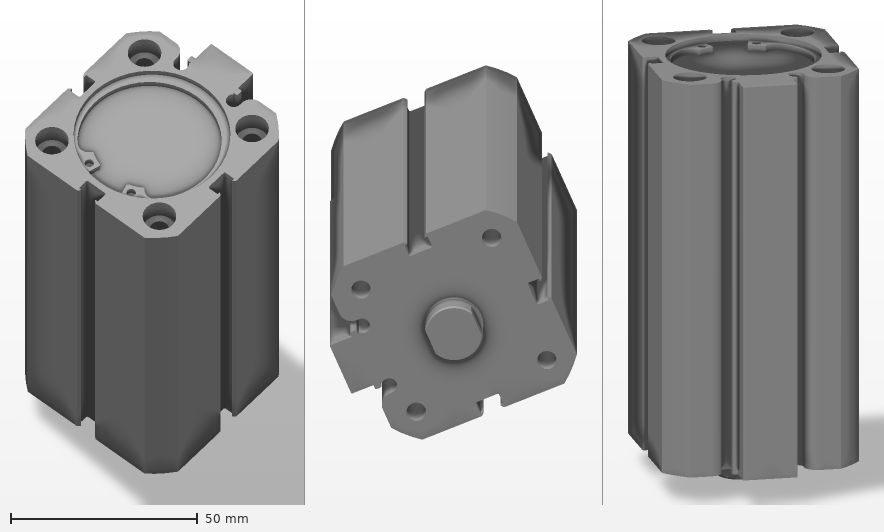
import cadquery as cq
import math


body_width = 54.0
half_width = body_width / 2
body_length = 109.0
corner_radius = 34.0

rail_width = 15.0
rail_top_y = 33.0
rail_edge_fillet = 0.4
lip_reach = 8.9
lip_top_y = 26.6
lip_bottom_y = 24.7
lip_fillet = 0.4
channel_x = 9.3
channel_y = 22.75
channel_radius = 2.1
channel_shoulder_radius = 3.5

slot_width = 6.7
slot_depth = 4.25
mouth_width = 5.1
mouth_bevel = 0.7
slot_lip_thickness = 0.9
slot_corner_fillet = 0.4

hole_pitch = 38.0
hole_diameter = 5.2
counterbore_diameter = 9.0
counterbore_depth = 6.0

bore_diameter = 42.0
groove_diameter = 44.9
ring_recess = 1.75
ring_thickness = 1.75
ring_inner_radius = 19.3
ring_inner_offset = -1.0
lug_inner_radius = 16.35
lug_start_angle = 16.5
lug_end_angle = 34.0
lug_root_fillet = 3.0
lug_corner_fillet = 0.5
lug_hole_radius = 18.7
lug_hole_angle = 23.4
lug_hole_diameter = 2.5
cap_thickness = 10.0

ring_top_z = body_length - ring_recess
ring_bottom_z = ring_top_z - ring_thickness
cap_bottom_z = ring_bottom_z - cap_thickness

rod_diameter = 16.0
rod_overhang = 7.0
rod_end_diameter = 15.6
shoulder_z = -0.8
rod_tip_chamfer_length = 0.6
rod_tip_chamfer_depth = 0.35
flats_width = 13.4
flats_top_z = -2.3


def polar_point(radius, angle_from_minus_y):
    """XY point at an angle in degrees from -Y, positive towards +X."""
    angle = math.radians(angle_from_minus_y)
    return (radius * math.sin(angle), -radius * math.cos(angle))


def disc(diameter, bottom_z, top_z):
    return cq.Workplane("XY").workplane(offset=bottom_z).circle(diameter / 2).extrude(top_z - bottom_z)


def side_slot():
    """T-shaped slot with a bevelled mouth, opening through the -Y face."""
    face_y = -half_width
    bevel_y = face_y + mouth_bevel
    lip_y = face_y + slot_lip_thickness
    floor_y = face_y + slot_depth
    half_mouth = mouth_width / 2
    mouth = (
        cq.Workplane("XY")
        .moveTo(-half_mouth - mouth_bevel, face_y)
        .lineTo(half_mouth + mouth_bevel, face_y)
        .lineTo(half_mouth, bevel_y)
        .lineTo(half_mouth, lip_y)
        .lineTo(-half_mouth, lip_y)
        .lineTo(-half_mouth, bevel_y)
        .close()
        .extrude(body_length)
    )
    chamber = (
        cq.Workplane("XY")
        .rect(slot_width, floor_y - lip_y)
        .extrude(body_length)
        .edges("|Z and >Y")
        .fillet(slot_corner_fillet)
        .translate((0, (lip_y + floor_y) / 2, 0))
    )
    return mouth.union(chamber)


def rail_channel():
    """Round-bottomed channel on the +X side of the rail, open through the +Y face."""
    outer_x = channel_x + channel_radius
    shoulder_y = half_width - channel_shoulder_radius
    shoulder_offset = channel_shoulder_radius * (1 - math.sqrt(0.5))
    opening = (
        cq.Workplane("XY")
        .moveTo(channel_x, channel_y)
        .lineTo(outer_x, channel_y)
        .lineTo(outer_x, shoulder_y)
        .threePointArc(
            (outer_x + shoulder_offset, half_width - shoulder_offset),
            (outer_x + channel_shoulder_radius, half_width),
        )
        .lineTo(rail_width / 2, half_width)
        .lineTo(rail_width / 2, lip_bottom_y)
        .close()
        .extrude(body_length)
    )
    channel = cq.Workplane("XY").center(channel_x, channel_y).circle(channel_radius).extrude(body_length)
    return opening.union(channel)


def rail():
    """Upright rail with a pair of rounded lips near its foot."""
    upright = (
        cq.Workplane("XY")
        .rect(rail_width, rail_top_y - lip_bottom_y)
        .extrude(body_length)
        .edges("|Z and >Y")
        .fillet(rail_edge_fillet)
        .translate((0, (rail_top_y + lip_bottom_y) / 2, 0))
    )
    lips = (
        cq.Workplane("XY")
        .rect(2 * lip_reach, lip_top_y - lip_bottom_y)
        .extrude(body_length)
        .edges("|Z")
        .fillet(lip_fillet)
        .translate((0, (lip_top_y + lip_bottom_y) / 2, 0))
    )
    return upright.union(lips)


def make_housing():
    """Slotted extrusion with four mounting holes, a head-end bore and a rod hole."""
    block = cq.Workplane("XY").rect(body_width, body_width).extrude(body_length)
    housing = block.intersect(disc(2 * corner_radius, 0, body_length))

    for angle in (-90, 0, 90):
        housing = housing.cut(side_slot().rotate((0, 0, 0), (0, 0, 1), angle))

    channel = rail_channel()
    housing = housing.cut(channel).cut(channel.mirror("YZ")).union(rail())

    housing = (
        housing.faces(">Z")
        .workplane(origin=(0, 0, body_length))
        .rect(hole_pitch, hole_pitch, forConstruction=True)
        .vertices()
        .cboreHole(hole_diameter, counterbore_diameter, counterbore_depth)
    )

    housing = housing.cut(disc(bore_diameter, cap_bottom_z, body_length))
    housing = housing.cut(disc(groove_diameter, ring_bottom_z, ring_top_z))
    return housing.cut(disc(rod_diameter, 0, cap_bottom_z))


def make_retaining_ring():
    """Internal circlip with an eccentric opening and two lugs facing -Y."""
    outer_radius = groove_diameter / 2
    lug_end = math.radians(lug_end_angle)
    axis_offset = -ring_inner_offset
    lug_root_radius = axis_offset * math.cos(lug_end) + math.sqrt(
        ring_inner_radius**2 - (axis_offset * math.sin(lug_end)) ** 2
    )

    plane = cq.Workplane("XY")
    opening = plane.center(0, ring_inner_offset).circle(ring_inner_radius).extrude(ring_thickness)
    lug_zone = (
        plane.moveTo(0, 0)
        .lineTo(*polar_point(body_width, -lug_end_angle))
        .lineTo(*polar_point(body_width, lug_end_angle))
        .close()
        .extrude(ring_thickness)
        .cut(plane.circle(lug_inner_radius).extrude(ring_thickness))
    )
    gap = (
        plane.moveTo(0, 0)
        .lineTo(*polar_point(body_width, -lug_start_angle))
        .lineTo(*polar_point(body_width, lug_start_angle))
        .close()
        .extrude(ring_thickness)
    )
    ring = plane.circle(outer_radius).extrude(ring_thickness).cut(opening.cut(lug_zone)).cut(gap)

    lug_edges = (
        (lug_root_radius, lug_end_angle, lug_root_fillet),
        (lug_inner_radius, lug_start_angle, lug_corner_fillet),
        (lug_inner_radius, lug_end_angle, lug_corner_fillet),
    )
    for side in (-1, 1):
        for radius, angle, fillet in lug_edges:
            edge_middle = (*polar_point(radius, side * angle), ring_thickness / 2)
            ring = ring.edges(cq.selectors.NearestToPointSelector(edge_middle)).fillet(fillet)

    lug_holes = (
        plane.pushPoints([polar_point(lug_hole_radius, side * lug_hole_angle) for side in (-1, 1)])
        .circle(lug_hole_diameter / 2)
        .extrude(ring_thickness)
    )
    return ring.cut(lug_holes).translate((0, 0, ring_bottom_z))


def make_cap():
    """Plain disc that closes the bore below the retaining ring."""
    return disc(bore_diameter, cap_bottom_z, ring_bottom_z)


def make_rod():
    """Rod with a slightly reduced end, chamfered at the shoulder and tip, and two wrench flats."""
    radius = rod_diameter / 2
    end_radius = rod_end_diameter / 2
    tip_z = -rod_overhang
    rod = (
        cq.Workplane("XZ")
        .moveTo(0, cap_bottom_z)
        .lineTo(radius, cap_bottom_z)
        .lineTo(radius, shoulder_z)
        .lineTo(end_radius, shoulder_z - (radius - end_radius))
        .lineTo(end_radius, tip_z + rod_tip_chamfer_length)
        .lineTo(end_radius - rod_tip_chamfer_depth, tip_z)
        .lineTo(0, tip_z)
        .close()
        .revolve(360, (0, 0, 0), (0, 1, 0))
    )

    flat_depth = (rod_diameter - flats_width) / 2
    for side in (-1, 1):
        flat_cut = (
            cq.Workplane("YZ")
            .moveTo(side * flats_width / 2, tip_z)
            .lineTo(side * flats_width / 2, flats_top_z)
            .lineTo(side * radius, flats_top_z + flat_depth)
            .lineTo(side * radius, tip_z)
            .close()
            .extrude(radius, both=True)
        )
        rod = rod.cut(flat_cut)
    return rod


housing = make_housing()
retaining_ring = make_retaining_ring()
cap = make_cap()
rod = make_rod()

result = cq.Compound.makeCompound([housing.val(), retaining_ring.val(), cap.val(), rod.val()])